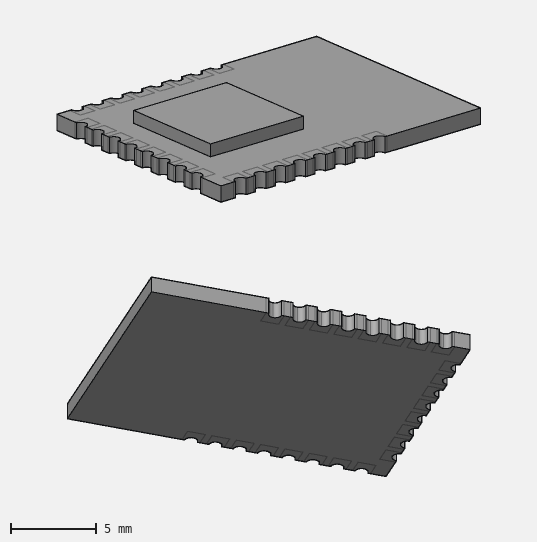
import cadquery as cq

board_width = 14.95
board_length = 19.62
board_thickness = 1.02

chip_size = 7.0
chip_height = 0.8
chip_front_gap = 2.51

pads_per_row = 8
row_span = 10.5
pad_pitch = row_span / (pads_per_row - 1)
pad_width = 1.1
pad_depth = 0.98
notch_radius = 0.4
side_row_start = 1.51
front_row_start = 2.2

side_ys = [side_row_start + index * pad_pitch for index in range(pads_per_row)]
front_xs = [front_row_start + index * pad_pitch for index in range(pads_per_row)]

left_points = [(0, y) for y in side_ys]
right_points = [(board_width, y) for y in side_ys]
front_points = [(x, 0) for x in front_xs]


def make_board():
    return cq.Workplane("XY").box(board_width, board_length, board_thickness, centered=False)


def make_pad_blocks():
    """Full-thickness pads reaching inward from the three board edges."""
    half_depth = pad_depth / 2
    side_centers = [(x + half_depth, y) for x, y in left_points]
    side_centers += [(x - half_depth, y) for x, y in right_points]
    front_centers = [(x, y + half_depth) for x, y in front_points]

    side_pads = cq.Workplane("XY").pushPoints(side_centers).rect(pad_depth, pad_width).extrude(board_thickness)
    front_pads = cq.Workplane("XY").pushPoints(front_centers).rect(pad_width, pad_depth).extrude(board_thickness)
    return side_pads.union(front_pads)


def make_notches():
    """Cylinders centred on the board edge; each cuts a half-round notch into its pad."""
    edge_points = left_points + right_points + front_points
    return cq.Workplane("XY").pushPoints(edge_points).circle(notch_radius).extrude(board_thickness)


def make_chip():
    chip_left = (board_width - chip_size) / 2
    chip = cq.Workplane("XY").box(chip_size, chip_size, chip_height, centered=False)
    return chip.translate((chip_left, chip_front_gap, board_thickness))


pad_blocks = make_pad_blocks()
board = make_board().cut(pad_blocks, clean=False).union(pad_blocks, clean=False)
board = board.cut(make_notches(), clean=False)
result = board.union(make_chip(), clean=False)